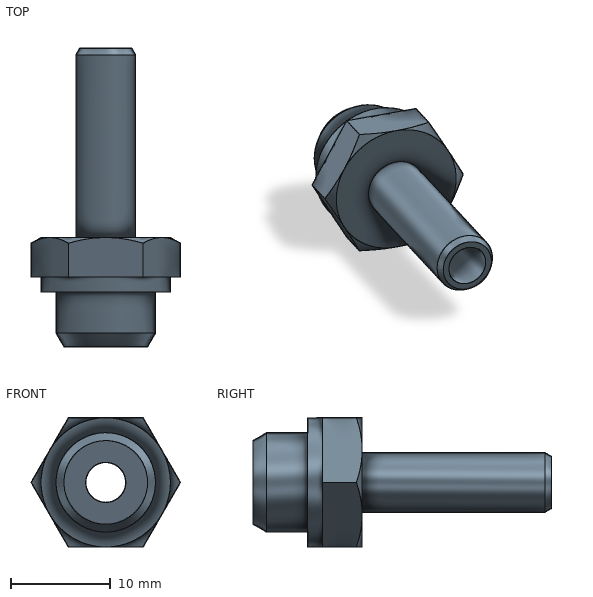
import cadquery as cq
import math

total_length = 30.0
hex_corner_diameter = 15.0
bore_diameter = 4.0
spigot_diameter = 10.0
spigot_length = 5.5
spigot_tip_diameter = 8.4
collar_length = 1.5
hex_length = 4.0
stem_diameter = 6.0
stem_tip_diameter = 5.22
chamfer_angle = math.radians(30)

hex_flat_diameter = hex_corner_diameter * math.cos(math.pi / 6)
collar_diameter = hex_flat_diameter
hex_start = spigot_length + collar_length
hex_end = hex_start + hex_length


def cylinder(diameter, start, end):
    """Solid cylinder about the Y axis between two stations."""
    return cq.Workplane("XZ", origin=(0, start, 0)).circle(diameter / 2).extrude(start - end)


def make_spigot():
    """Spigot with a steep conical lead-in at its free end."""
    radial = (spigot_diameter - spigot_tip_diameter) / 2
    axial = radial / math.tan(chamfer_angle)
    return cylinder(spigot_diameter, 0, spigot_length).cut(
        tip_ring(spigot_diameter, spigot_tip_diameter, 0, axial)
    )


def tip_ring(diameter, tip_diameter, tip, base):
    """Ring of material outside a cone that narrows from base to tip."""
    profile = [(diameter / 2, base), (diameter / 2, tip), (tip_diameter / 2, tip)]
    return cq.Workplane("XY").polyline(profile).close().revolve(360, (0, 0, 0), (0, 1, 0))


def make_stem():
    """Stem with a steep conical lead-in at its free end."""
    axial = (stem_diameter - stem_tip_diameter) / 2 / math.tan(chamfer_angle)
    return cylinder(stem_diameter, hex_end, total_length).cut(
        tip_ring(stem_diameter, stem_tip_diameter, total_length, total_length - axial)
    )


def make_hex():
    """Hexagon with corners on X, its corners turned off on the stem side."""
    prism = (
        cq.Workplane("XZ", origin=(0, hex_start, 0))
        .polygon(6, hex_corner_diameter)
        .extrude(-hex_length)
    )
    corner_drop = (hex_corner_diameter - hex_flat_diameter) / 2 * math.tan(chamfer_angle)
    return prism.cut(
        tip_ring(hex_corner_diameter, hex_flat_diameter, hex_end, hex_end - corner_drop)
    )


collar = cylinder(collar_diameter, spigot_length, hex_start)
bore = cylinder(bore_diameter, 0, total_length)

result = make_spigot().union(collar).union(make_hex()).union(make_stem()).cut(bore)